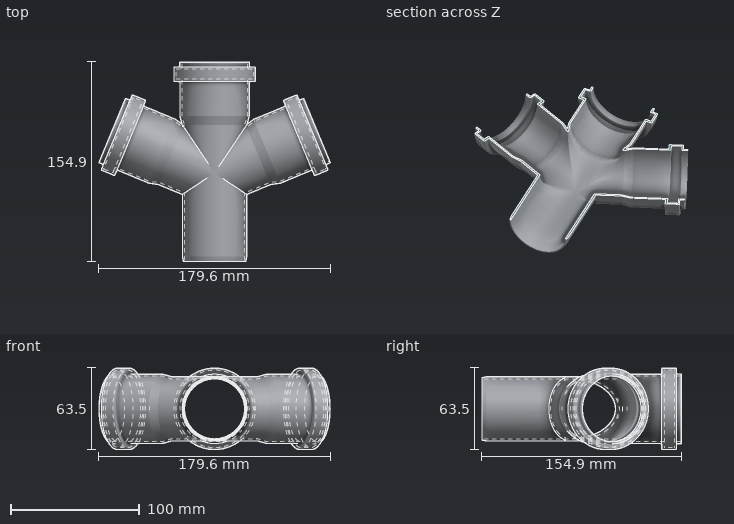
import cadquery as cq


pipe_radius = 50.2 / 2
bore_radius = 46.5 / 2

spigot_length = 68.8
spigot_taper_length = 3.8
spigot_tip_radius = 24.3

socket_reach = 86.1
side_angle = 67.5
socket_radius = 54.0 / 2
socket_bore_radius = 50.9 / 2
socket_depth = 42.0
cone_length = 7.2

rim_radius = 54.3 / 2
rim_length = 3.8
rim_round = 0.4
collar_radius = 63.5 / 2
collar_round = 0.9
collar_length = 11.5
mouth_radius = 51.0 / 2
seal_groove_radius = 60.2 / 2
groove_front_wall = 1.5
groove_back_wall = 2.2
groove_lip_round = 0.9


def revolve_along_y(points):
    return cq.Workplane("XY").polyline(points).close().revolve(360, (0, 0, 0), (0, 1, 0))


collar_top = socket_reach - rim_length
collar_bottom = collar_top - collar_length
cone_top = socket_reach - socket_depth
cone_bottom = cone_top - cone_length


def round_circles(solid, fillet_radius, circle_radius, heights):
    """Round the widest circle that fits within circle_radius at each height along Y."""
    margin = 0.02
    for height in heights:
        edge_box = cq.selectors.BoxSelector(
            (-circle_radius - margin, height - margin, -circle_radius - margin),
            (circle_radius + margin, height + margin, circle_radius + margin),
            boundingbox=True,
        )
        circles = solid.edges(edge_box).edges(cq.selectors.RadiusNthSelector(-1))
        solid = circles.fillet(fillet_radius)
    return solid


def socket_outside():
    socket = revolve_along_y([
        (0, 0),
        (pipe_radius, 0),
        (pipe_radius, cone_bottom),
        (socket_radius, cone_top),
        (socket_radius, collar_bottom),
        (collar_radius, collar_bottom),
        (collar_radius, collar_top),
        (rim_radius, collar_top),
        (rim_radius, socket_reach),
        (0, socket_reach),
    ])
    collar_ends = (collar_bottom, collar_top)
    socket = round_circles(socket, collar_round, collar_radius, collar_ends)
    socket = round_circles(socket, collar_round, socket_radius, (collar_bottom,))
    socket = round_circles(socket, collar_round, rim_radius, (collar_top,))
    return round_circles(socket, rim_round, rim_radius, (socket_reach,))


def socket_inside():
    groove_bottom = collar_bottom + groove_back_wall
    groove_top = collar_top - groove_front_wall
    cavity = revolve_along_y([
        (0, 0),
        (bore_radius, 0),
        (bore_radius, cone_bottom),
        (socket_bore_radius, cone_top),
        (socket_bore_radius, groove_bottom),
        (seal_groove_radius, groove_bottom),
        (seal_groove_radius, groove_top),
        (mouth_radius, groove_top),
        (mouth_radius, socket_reach),
        (0, socket_reach),
    ])
    cavity = round_circles(cavity, groove_lip_round, socket_bore_radius, (groove_bottom,))
    return round_circles(cavity, groove_lip_round, mouth_radius, (groove_top,))


def spigot_outside():
    return revolve_along_y([
        (0, 0),
        (pipe_radius, 0),
        (pipe_radius, spigot_taper_length - spigot_length),
        (spigot_tip_radius, -spigot_length),
        (0, -spigot_length),
    ])


def spigot_inside():
    return revolve_along_y([
        (0, 0),
        (bore_radius, 0),
        (bore_radius, -spigot_length),
        (0, -spigot_length),
    ])


socket_angles = (-side_angle, 0, side_angle)
body = spigot_outside().union(cq.Workplane("XY").sphere(pipe_radius))
bores = spigot_inside().union(cq.Workplane("XY").sphere(bore_radius))
for angle in socket_angles:
    body = body.union(socket_outside().rotate((0, 0, 0), (0, 0, 1), angle))
    bores = bores.union(socket_inside().rotate((0, 0, 0), (0, 0, 1), angle))

result = body.cut(bores)